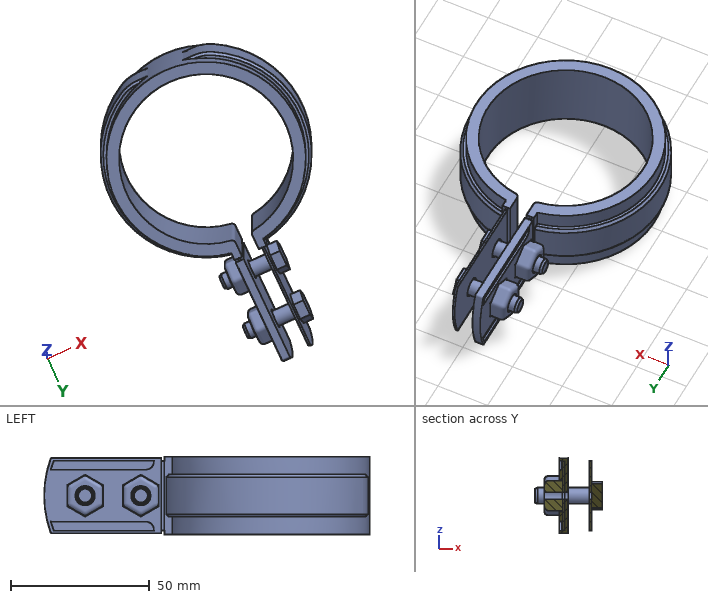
import cadquery as cq
import math


TOTAL_LENGTH = 117.3

LINER_HEIGHT = 28.0
LINER_OUTER_R = 35.9
LINER_BORE_R = 31.3
LINER_END_TOP = 38.1
LINER_END_THICKNESS = 3.0
LINER_END_ROUND = 1.4

BAND_RADIUS = 38.0
BAND_HEIGHT = 15.2
BAND_CHAMFER = 1.0
BAND_FLAT_DEPTH = 35.2
BAND_BLEND_R = 15.0

STRAP_THICKNESS = 0.8
STRAP_WIDTH = 25.1
STRAP_RADIUS = (LINER_OUTER_R + LINER_BORE_R) / 2
TAB_X = 4.8
TIP_SAGITTA = 2.5

CAP_THICKNESS = 3.2
CAP_WIDTH = 27.2
CAP_WALL = (CAP_WIDTH - STRAP_WIDTH) / 2
CAP_BOTTOM = 39.2
CAP_TOP = TOTAL_LENGTH - LINER_OUTER_R
CAP_CORNER_R = 0.7
CAP_OUTER_X = -TAB_X - CAP_THICKNESS / 2
TAB_TOP = CAP_TOP - CAP_WALL

GROOVE_DEPTH = 0.9
GROOVE_INNER_Z = 9.4
GROOVE_BOTTOM = 41.9
GROOVE_CORNER_R = 2.8

BOLT_YS = (46.6, 66.6)
BOLT_DIAMETER = 6.0
BOLT_TIP_DIAMETER = 4.9
BOLT_TIP_LENGTH = 0.9
BOLT_END_X = -15.1
HEAD_ACROSS_FLATS = 10.1
HEAD_HEIGHT = 3.9
CLEARANCE_DIAMETER = 7.0
NUT_ACROSS_FLATS = 12.8
NUT_OUTER_X = -11.8
NUT_ROUND = 1.6
NUT_TURN = 90
NUT_POCKET_GAP = 0.1

TAB_OUTER_X = TAB_X + STRAP_THICKNESS / 2
LINER_END_INNER_X = TAB_X - LINER_END_THICKNESS / 2
LINER_END_OUTER_X = TAB_X + LINER_END_THICKNESS / 2


def box(x_range, y_range, height):
    """Block between two X and two Y limits, centred on Z = 0."""
    x_size = x_range[1] - x_range[0]
    y_size = y_range[1] - y_range[0]
    center = (sum(x_range) / 2, sum(y_range) / 2, 0)
    return cq.Workplane("XY").box(x_size, y_size, height).translate(center)


def disc(radius, height):
    """Cylinder on the pipe axis, centred on Z = 0."""
    return cq.Workplane("XY").circle(radius).extrude(height / 2, both=True)


def tongue(x_start, thickness, bottom, top, width):
    """Flat plate growing to +X, with a tip that bulges along an arc."""
    half = width / 2
    shoulder = top - TIP_SAGITTA
    return (
        cq.Workplane("YZ", origin=(x_start, 0, 0))
        .moveTo(bottom, -half)
        .lineTo(shoulder, -half)
        .threePointArc((top, 0), (shoulder, half))
        .lineTo(bottom, half)
        .close()
        .extrude(thickness)
    )


def rod(diameter, x_start, x_end, y):
    """Cylinder along X at one bolt position."""
    return cq.Workplane("YZ", origin=(x_start, y, 0)).circle(diameter / 2).extrude(x_end - x_start)


def hexagon(across_flats, x_start, x_end, y, turn=0):
    """Hexagonal prism along X, with corners pointing to +Y and -Y unless turned by an angle."""
    across_corners = across_flats / math.cos(math.pi / 6)
    return (
        cq.Workplane("YZ", origin=(x_start, y, 0))
        .transformed(rotate=(0, 0, turn))
        .polygon(6, across_corners)
        .extrude(x_end - x_start)
    )


def clearance_hole(y):
    """Clearance for one bolt through everything it crosses."""
    return rod(CLEARANCE_DIAMETER, NUT_OUTER_X, TAB_OUTER_X, y)


def nut_blank(y, gap=0.0):
    """Plain hexagon of one nut, seated on the outer face of the left tab."""
    return hexagon(NUT_ACROSS_FLATS + 2 * gap, NUT_OUTER_X, -TAB_OUTER_X, y, NUT_TURN)


def make_strap():
    inner_r = STRAP_RADIUS - STRAP_THICKNESS / 2
    tab_root = math.sqrt(STRAP_RADIUS**2 - TAB_X**2)
    strap = disc(STRAP_RADIUS + STRAP_THICKNESS / 2, STRAP_WIDTH).cut(disc(inner_r, STRAP_WIDTH))
    strap = strap.cut(box((-TAB_X, TAB_X), (0, LINER_OUTER_R), STRAP_WIDTH))
    for side in (-1, 1):
        inner_x = side * TAB_X - STRAP_THICKNESS / 2
        strap = strap.union(tongue(inner_x, STRAP_THICKNESS, tab_root, TAB_TOP, STRAP_WIDTH))
    for y in BOLT_YS:
        strap = strap.cut(clearance_hole(y))
    return strap


def make_band():
    """Raised band: a chamfered disc with one flat blended into its rim."""
    blend_center_y = -BAND_FLAT_DEPTH + BAND_BLEND_R
    blend_center_r = BAND_RADIUS - BAND_BLEND_R
    flat_end_x = math.sqrt(blend_center_r**2 - blend_center_y**2)
    rim_scale = BAND_RADIUS / blend_center_r
    rim_x = flat_end_x * rim_scale
    rim_y = blend_center_y * rim_scale
    mid_angle = (math.atan2(blend_center_y, flat_end_x) - math.pi / 2) / 2
    mid_x = flat_end_x + BAND_BLEND_R * math.cos(mid_angle)
    mid_y = blend_center_y + BAND_BLEND_R * math.sin(mid_angle)
    return (
        cq.Workplane("XY")
        .moveTo(-flat_end_x, -BAND_FLAT_DEPTH)
        .lineTo(flat_end_x, -BAND_FLAT_DEPTH)
        .threePointArc((mid_x, mid_y), (rim_x, rim_y))
        .threePointArc((0, BAND_RADIUS), (-rim_x, rim_y))
        .threePointArc((-mid_x, mid_y), (-flat_end_x, -BAND_FLAT_DEPTH))
        .close()
        .extrude(BAND_HEIGHT / 2, both=True)
        .faces("|Z")
        .edges()
        .chamfer(BAND_CHAMFER)
    )


def make_liner(strap):
    end_limits = (-LINER_END_OUTER_X, LINER_END_OUTER_X)
    band = make_band().cut(box(end_limits, (0, BAND_RADIUS), BAND_HEIGHT))
    ends = box(end_limits, (LINER_BORE_R, LINER_END_TOP), LINER_HEIGHT)
    split = box((-LINER_END_INNER_X, LINER_END_INNER_X), (0, LINER_END_TOP), LINER_HEIGHT)
    liner = disc(LINER_OUTER_R, LINER_HEIGHT).union(ends).union(band)
    liner = liner.cut(disc(LINER_BORE_R, LINER_HEIGHT)).cut(split)
    bore_corner_y = math.sqrt(LINER_BORE_R**2 - LINER_END_INNER_X**2)
    for side in (-1, 1):
        corner = cq.selectors.NearestToPointSelector((side * LINER_END_INNER_X, bore_corner_y, 0))
        liner = liner.edges("|Z").edges(corner).fillet(LINER_END_ROUND)
    return liner.cut(strap)


def make_groove(side):
    """Groove in the cap's outer face along one long edge, following the tip arc."""
    inset = tongue(CAP_OUTER_X, GROOVE_DEPTH, GROOVE_BOTTOM, TAB_TOP, STRAP_WIDTH)
    height = STRAP_WIDTH / 2 - GROOVE_INNER_Z
    length = CAP_TOP - GROOVE_BOTTOM
    inner_edge = cq.selectors.NearestToPointSelector((CAP_OUTER_X, GROOVE_BOTTOM, side * GROOVE_INNER_Z))
    strip = (
        cq.Workplane("XY")
        .box(2 * GROOVE_DEPTH, length, height)
        .translate((CAP_OUTER_X, GROOVE_BOTTOM + length / 2, side * (GROOVE_INNER_Z + height / 2)))
        .edges("|X")
        .edges(inner_edge)
        .fillet(GROOVE_CORNER_R)
    )
    return inset.intersect(strip)


def make_cap(strap):
    cap = tongue(CAP_OUTER_X, CAP_THICKNESS, CAP_BOTTOM, CAP_TOP, CAP_WIDTH)
    cap = cap.edges("|X").edges(">Y").fillet(CAP_CORNER_R)
    for side in (-1, 1):
        cap = cap.cut(make_groove(side))
    for y in BOLT_YS:
        cap = cap.cut(nut_blank(y, NUT_POCKET_GAP)).cut(clearance_hole(y))
    return cap.cut(strap)


def make_nut(y):
    nut = nut_blank(y).edges("|X").fillet(NUT_ROUND)
    nut = nut.faces("<X").edges().fillet(NUT_ROUND)
    return nut.cut(clearance_hole(y))


def make_bolt(y):
    tip_bevel = (BOLT_DIAMETER - BOLT_TIP_DIAMETER) / 2
    shank = rod(BOLT_DIAMETER, BOLT_END_X, TAB_OUTER_X, y)
    shank = shank.faces("<X").chamfer(BOLT_TIP_LENGTH, tip_bevel)
    head = hexagon(HEAD_ACROSS_FLATS, TAB_OUTER_X, TAB_OUTER_X + HEAD_HEIGHT, y)
    return shank.union(head)


strap = make_strap()
liner = make_liner(strap)
cap = make_cap(strap)
nuts = [make_nut(y).val() for y in BOLT_YS]
bolts = [make_bolt(y).val() for y in BOLT_YS]

result = cq.Compound.makeCompound([strap.val(), liner.val(), cap.val(), *nuts, *bolts])